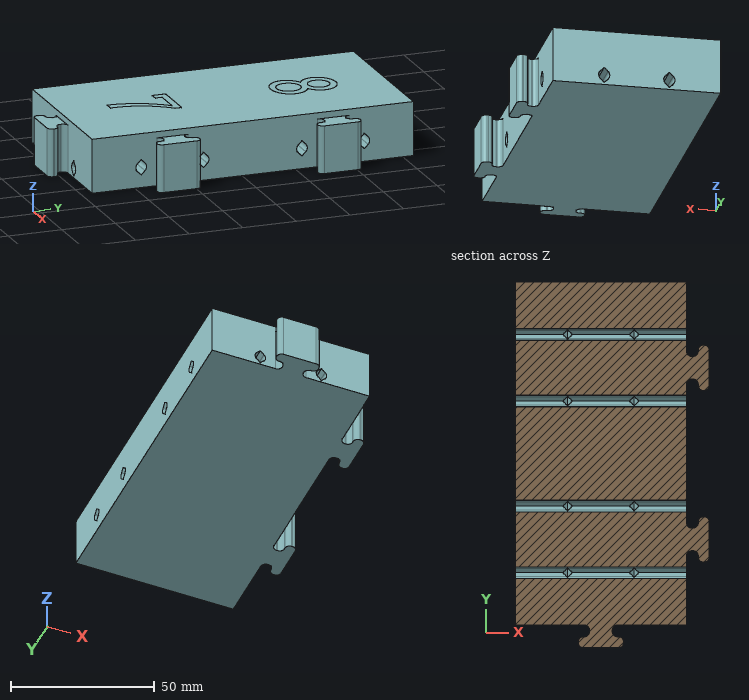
import cadquery as cq
import math

cell_size = 60.0
cell_centers_y = [-cell_size / 2, cell_size / 2]
block_length = len(cell_centers_y) * cell_size
block_height = 20.0

connector_depth = 7.9
connector_radius = 1.8
connector_height = 17.7
head_width = 16.0

hole_diameter = 4.0
hole_offset = 11.6
cross_hole_z = 7.5
long_hole_z = 3.6

inlay_depth = 1.0
inlay_z = block_height - inlay_depth
digit_shift_x = -0.3

upper_lobe_y = 5.9
upper_lobe_radii = (7.2, 6.4)
upper_counter_radius = 4.0
lower_lobe_y = -5.4
lower_lobe_radii = (7.7, 6.7)
lower_counter_radius = 4.5

seven_half_width = 8.0
seven_half_height = 11.8
bar_thickness = 2.4
serif_length = 5.0
serif_width = 3.1
stem_foot_left = -3.6
stem_foot_right = -0.1
stem_inner_top = 5.0
stem_inner_middle = (-0.8, 0.6)
stem_outer_middle = (2.2, 0.6)


def make_connector():
    """Connector growing from X = 0 toward +X, centred on Y = 0."""
    r = connector_radius
    arc_middle = r * math.sqrt(0.5)
    neck_end = connector_depth / 2
    head_half = head_width / 2
    neck_half = head_half - neck_end
    side = (
        cq.Workplane("XY")
        .lineTo(0, neck_half + r)
        .threePointArc((r - arc_middle, neck_half + r - arc_middle), (r, neck_half))
        .lineTo(neck_end - r, neck_half)
        .threePointArc((neck_end - r + arc_middle, neck_half + r - arc_middle), (neck_end, neck_half + r))
        .lineTo(neck_end, head_half - r)
        .threePointArc((neck_end + r - arc_middle, head_half - r + arc_middle), (neck_end + r, head_half))
        .lineTo(connector_depth - r, head_half)
        .threePointArc(
            (connector_depth - r + arc_middle, head_half - r + arc_middle),
            (connector_depth, head_half - r),
        )
        .lineTo(connector_depth, 0)
        .close()
        .extrude(connector_height)
    )
    return side.union(side.mirror("XZ")).clean()


def make_hole(length):
    """Pointed hole cutter along Y, centred on the origin; flats run tangent from the arcs to the points."""
    r = hole_diameter / 2
    tangent = r * math.sqrt(0.5)
    point = 2 * tangent
    profile = (
        cq.Workplane("XZ")
        .moveTo(tangent, -tangent)
        .threePointArc((r, 0), (tangent, tangent))
        .lineTo(0, point)
        .lineTo(-tangent, tangent)
        .threePointArc((-r, 0), (-tangent, -tangent))
        .lineTo(0, -point)
        .close()
    )
    return profile.extrude(length / 2, both=True)


def make_seven():
    top = seven_half_height
    bar_bottom = top - bar_thickness
    serif_bottom = top - serif_length
    serif_right = serif_width - seven_half_width
    outline = (
        cq.Workplane("XY")
        .moveTo(-seven_half_width, top)
        .lineTo(seven_half_width, top)
        .lineTo(seven_half_width, bar_bottom)
        .threePointArc(stem_outer_middle, (stem_foot_right, -top))
        .lineTo(stem_foot_left, -top)
        .threePointArc(stem_inner_middle, (stem_inner_top, bar_bottom))
        .lineTo(serif_right, bar_bottom)
        .lineTo(serif_right, serif_bottom)
        .lineTo(-seven_half_width, serif_bottom)
        .close()
    )
    return outline.extrude(inlay_depth).translate((digit_shift_x, cell_centers_y[0], inlay_z))


def make_lobe(center_y, radii):
    return cq.Workplane("XY").center(0, center_y).ellipse(*radii).extrude(inlay_depth)


def make_counter(center_y, radius):
    return cq.Workplane("XY").center(0, center_y).circle(radius).extrude(inlay_depth)


def make_eight():
    digit = make_lobe(upper_lobe_y, upper_lobe_radii).union(make_lobe(lower_lobe_y, lower_lobe_radii))
    digit = digit.cut(make_counter(upper_lobe_y, upper_counter_radius))
    digit = digit.cut(make_counter(lower_lobe_y, lower_counter_radius))
    return digit.translate((digit_shift_x, cell_centers_y[1], inlay_z))


def make_block(inlays):
    block = cq.Workplane("XY").box(cell_size, block_length, block_height, centered=(True, True, False))

    connector = make_connector()
    for y in cell_centers_y:
        block = block.union(connector.translate((cell_size / 2, y, 0)))
    end_connector = connector.rotate((0, 0, 0), (0, 0, 1), -90)
    block = block.union(end_connector.translate((0, -block_length / 2, 0)))

    cross_hole = make_hole(cell_size).rotate((0, 0, 0), (0, 0, 1), 90)
    long_hole = make_hole(block_length)
    for offset in (-hole_offset, hole_offset):
        for y in cell_centers_y:
            block = block.cut(cross_hole.translate((0, y + offset, cross_hole_z)))
        block = block.cut(long_hole.translate((offset, 0, long_hole_z)))

    for inlay in inlays:
        block = block.cut(inlay)
    return block


seven = make_seven()
eight = make_eight()
block = make_block([seven, eight])

result = cq.Compound.makeCompound([*block.solids().vals(), *seven.solids().vals(), *eight.solids().vals()])